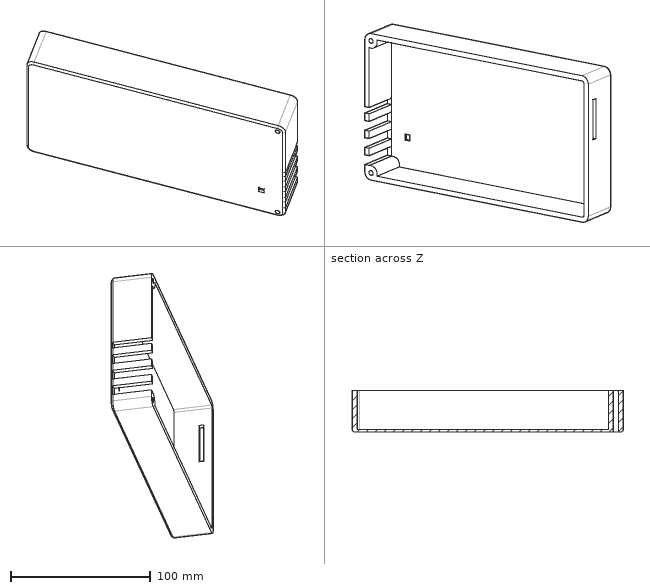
import cadquery as cq

length = 195.0
depth = 30.0
height = 110.0
corner_radius = 5.5
front_chamfer = 1.5

side_wall = 3.9
front_wall = 2.0

screw_hole_diameter = 3.5
post_diameter = 2 * corner_radius

window_width = 4.0
window_height = 4.5
window_x = 79.8
window_z = -27.9

slot_width = 3.5
slot_height = 30.0
slot_y = 7.0
slot_z = 21.3

port_height = 7.2
port_pitch = 12.9
middle_port_z = -27.7
small_port_height = 4.7
small_port_z = -3.1
port_chamfer_cut = 0.08

front_y = -depth / 2
back_y = depth / 2
screw_x = length / 2 - corner_radius
screw_z = height / 2 - corner_radius
screw_points = [(screw_x, screw_z), (screw_x, -screw_z)]
port_depth = depth - front_chamfer + port_chamfer_cut
ports = [(middle_port_z + step * port_pitch, port_height) for step in (-1, 0, 1)]
ports.append((small_port_z, small_port_height))


def back_plane():
    """Sketch plane on the back rim, with X to the right, Z up and its normal towards the front."""
    return cq.Workplane("XZ", origin=(0, back_y, 0))


def make_block(size, center):
    return cq.Workplane("XY").box(*size).translate(center)


def make_shell():
    body = cq.Workplane("XY").box(length, depth, height)
    body = body.edges("|Y").fillet(corner_radius)
    body = body.faces("<Y").edges().chamfer(front_chamfer)
    hollow_length = length - 2 * side_wall
    hollow_height = height - 2 * side_wall
    hollow = back_plane().rect(hollow_length, hollow_height).extrude(depth - front_wall)
    hollow = hollow.edges("|Y").fillet(corner_radius - side_wall)
    return body.cut(hollow)


def make_screw_posts():
    post_depth = depth - front_chamfer
    return back_plane().pushPoints(screw_points).circle(post_diameter / 2).extrude(post_depth)


def make_screw_holes():
    return back_plane().pushPoints(screw_points).circle(screw_hole_diameter / 2).extrude(depth)


def make_window():
    size = (window_width, 2 * front_wall, window_height)
    return make_block(size, (window_x, front_y + front_wall / 2, window_z))


def make_slot():
    size = (2 * side_wall, slot_width, slot_height)
    return make_block(size, (side_wall / 2 - length / 2, slot_y, slot_z))


def make_port(port_z, opening_height):
    size = (2 * side_wall, port_depth, opening_height)
    return make_block(size, (length / 2, back_y - port_depth / 2, port_z))


result = make_shell().union(make_screw_posts())
result = result.cut(make_screw_holes())
result = result.cut(make_window())
result = result.cut(make_slot())
for port_z, opening_height in ports:
    result = result.cut(make_port(port_z, opening_height))